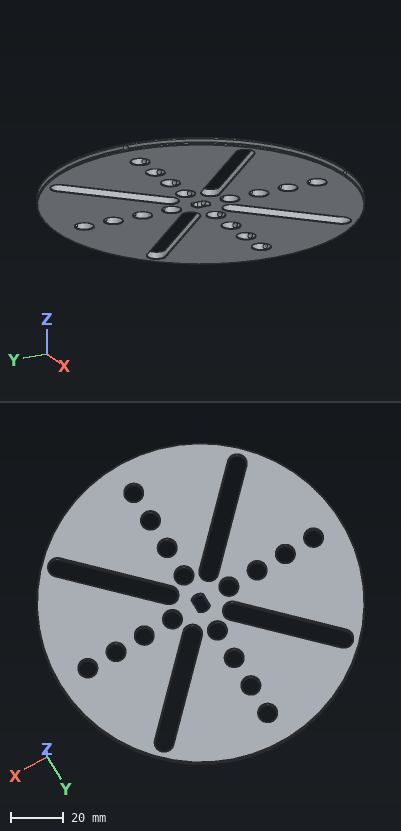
import cadquery as cq
disc_diameter = 125.0
thickness = 3.1
edge_chamfer = 0.3

pitch = 12.5
holes_per_arm = 4
hole_diameter = 7.0

slot_width = hole_diameter
slot_inner_radius = pitch
slot_outer_radius = 56.2

hub_flat_width = 4.8

cross_hole_diameter = 2.0
groove_width = 1.6
groove_depth = 1.0
seam_angle = 30

arm_angles = (0, 90, 180, 270)
slot_angles = (45, 135, 225, 315)
cross_hole_angles = (0, 90)

disc_radius = disc_diameter / 2
half_thickness = thickness / 2


def make_disc():
    """Plain disc centred on the origin."""
    return cq.Workplane("XY").circle(disc_radius).extrude(half_thickness, both=True)


def make_hole_arm():
    """Row of round hole cutters along +X."""
    centres = [(step * pitch, 0) for step in range(1, holes_per_arm + 1)]
    return (
        cq.Workplane("XY")
        .pushPoints(centres)
        .circle(hole_diameter / 2)
        .extrude(half_thickness, both=True)
    )


def make_slot():
    """Radial slot cutter along +X."""
    slot_length = slot_outer_radius - slot_inner_radius + slot_width
    slot_middle = (slot_outer_radius + slot_inner_radius) / 2
    return (
        cq.Workplane("XY")
        .center(slot_middle, 0)
        .slot2D(slot_length, slot_width)
        .extrude(half_thickness, both=True)
    )


def make_hub_hole():
    """Double-D cutter: a round hole narrowed by two flats parallel to Y."""
    round_hole = cq.Workplane("XY").circle(hole_diameter / 2).extrude(half_thickness, both=True)
    return round_hole.intersect(cq.Workplane("XY").box(hub_flat_width, hole_diameter, thickness))


def make_rim_groove():
    """Ring cutter with a V section pointing inward at mid-thickness."""
    half_groove = groove_width / 2
    return (
        cq.Workplane("XZ")
        .moveTo(disc_radius, -half_groove)
        .lineTo(disc_radius - groove_depth, 0)
        .lineTo(disc_radius, half_groove)
        .close()
        .revolve(360, (0, 0, 0), (0, 1, 0))
    )


def make_cross_hole(angle):
    """Hole cutter right across the disc at mid-thickness."""
    cutter = (
        cq.Workplane("YZ")
        .workplane(offset=-disc_diameter)
        .circle(cross_hole_diameter / 2)
        .extrude(2 * disc_diameter)
    )
    return turned(cutter.rotate((0, 0, 0), (1, 0, 0), seam_angle), angle)


def turned(cutter, angle):
    """Cutter turned about the disc axis."""
    return cutter.rotate((0, 0, 0), (0, 0, 1), angle)


result = make_disc().cut(make_hub_hole())
for angle in arm_angles:
    result = result.cut(turned(make_hole_arm(), angle))
for angle in slot_angles:
    result = result.cut(turned(make_slot(), angle))

result = result.faces("|Z").edges().chamfer(edge_chamfer)

result = result.cut(make_rim_groove())
for angle in cross_hole_angles:
    result = result.cut(make_cross_hole(angle))